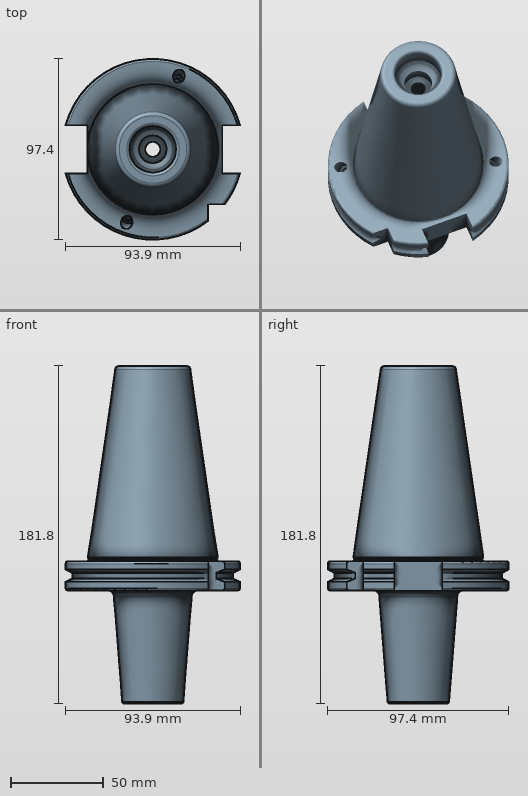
import cadquery as cq
import math

total_length = 181.8
taper_length = 101.8
z_top = taper_length
z_bottom = z_top - total_length

gauge_radius = 34.9
taper_slope = 7 / 48
taper_overrun = 1.3
top_edge_round = 2.2

relief_radius = 34.5
relief_bevel_height = 0.5
relief_fillet = 0.7

flange_radius = 48.7
z_flange_top = -3.3
flange_thickness = 15.8
z_flange_bottom = z_flange_top - flange_thickness
flange_edge_round = 1.3

z_groove = -11.0
groove_width = 6.7
groove_floor_radius = 45.3
groove_corner_round = 0.5
groove_wall_angle = 27.0

slot_width = 25.8
left_slot_floor = 35.3
right_slot_floor = 37.5
notch_x = 29.8
notch_y = 29.6

nose_top_radius = 21.0
nose_tip_radius = 16.5
nose_fillet = 2.9
nose_collar_height = 0.5
nose_tip_chamfer = 0.9

mouth_round = 1.6
bore_radius = 12.5
bore_depth = 9.0
seat_radius = 10.7
seat_depth = 10.5
pocket_radius = 7.5
cone_depth = 11.8
pocket_depth = 18.2
through_radius = 4.0

hole_circle_radius = 41.8
hole_angle = 70.4
hole_radius = 3.0
hole_tilt = 30.0
hole_depth = 4.7
socket_width = 3.6
socket_depth = 1.5


def taper_radius(z):
    return gauge_radius - taper_slope * z


def arc_inset(radius):
    return radius * (1 - math.sqrt(0.5))


def revolve_profile(profile):
    return profile.close().revolve(360, (0, 0, 0), (0, 1, 0))


def make_shank():
    z_taper_end = -taper_overrun
    relief_sag = arc_inset(relief_fillet)
    profile = (
        cq.Workplane("YZ")
        .moveTo(0, z_top)
        .lineTo(taper_radius(z_top), z_top)
        .lineTo(taper_radius(z_taper_end), z_taper_end)
        .lineTo(relief_radius, z_taper_end - relief_bevel_height)
        .lineTo(relief_radius, z_flange_top + relief_fillet)
        .threePointArc(
            (relief_radius + relief_sag, z_flange_top + relief_sag),
            (relief_radius + relief_fillet, z_flange_top),
        )
        .lineTo(0, z_flange_top)
    )
    return revolve_profile(profile).faces(">Z").edges().fillet(top_edge_round)


def make_flange():
    disc = (
        cq.Workplane("XY", origin=(0, 0, z_flange_bottom))
        .circle(flange_radius)
        .extrude(flange_thickness)
        .edges()
        .fillet(flange_edge_round)
    )
    half_mouth = groove_width / 2
    groove_depth = flange_radius - groove_floor_radius
    half_floor = half_mouth - groove_depth * math.tan(math.radians(groove_wall_angle))
    groove = (
        cq.Workplane("YZ")
        .moveTo(flange_radius, z_groove + half_mouth)
        .lineTo(groove_floor_radius, z_groove + half_floor)
        .lineTo(groove_floor_radius, z_groove - half_floor)
        .lineTo(flange_radius, z_groove - half_mouth)
    )
    floor_edges = cq.selectors.RadiusNthSelector(0)
    return disc.cut(revolve_profile(groove).edges(floor_edges).fillet(groove_corner_round))


def make_nose():
    z_collar_top = z_flange_bottom - nose_fillet
    z_collar_bottom = z_collar_top - nose_collar_height
    sag = arc_inset(nose_fillet)
    profile = (
        cq.Workplane("YZ")
        .moveTo(0, z_flange_bottom)
        .lineTo(nose_top_radius + nose_fillet, z_flange_bottom)
        .threePointArc(
            (nose_top_radius + sag, z_flange_bottom - sag),
            (nose_top_radius, z_collar_top),
        )
        .lineTo(nose_top_radius, z_collar_bottom)
        .lineTo(nose_tip_radius, z_bottom)
        .lineTo(0, z_bottom)
    )
    return revolve_profile(profile).faces("<Z").edges().chamfer(nose_tip_chamfer)


def make_flange_cutouts():
    reach = flange_radius

    def cutout(x_min, x_max, y_min, y_max):
        return cq.Workplane("XY").box(
            x_max - x_min, y_max - y_min, flange_thickness, centered=False
        ).translate((x_min, y_min, z_flange_bottom))

    half_slot = slot_width / 2
    left_slot = cutout(-reach, -left_slot_floor, -half_slot, half_slot)
    right_slot = cutout(right_slot_floor, reach, -half_slot, half_slot)
    notch = cutout(notch_x, reach, -reach, -notch_y)
    return left_slot.union(right_slot).union(notch)


def make_bore():
    mouth_sag = arc_inset(mouth_round)
    profile = (
        cq.Workplane("YZ")
        .moveTo(0, z_top)
        .lineTo(bore_radius + mouth_round, z_top)
        .threePointArc(
            (bore_radius + mouth_sag, z_top - mouth_sag),
            (bore_radius, z_top - mouth_round),
        )
        .lineTo(bore_radius, z_top - bore_depth)
        .lineTo(seat_radius, z_top - seat_depth)
        .lineTo(pocket_radius, z_top - cone_depth)
        .lineTo(pocket_radius, z_top - pocket_depth)
        .lineTo(through_radius, z_top - pocket_depth)
        .lineTo(through_radius, z_bottom)
        .lineTo(0, z_bottom)
    )
    return revolve_profile(profile)


def make_coolant_hole(angle):
    tilt = math.radians(hole_tilt)
    outward = (math.cos(math.radians(angle)), math.sin(math.radians(angle)))
    axis = cq.Vector(
        outward[0] * math.sin(tilt), outward[1] * math.sin(tilt), math.cos(tilt)
    )
    mouth = cq.Vector(
        outward[0] * hole_circle_radius, outward[1] * hole_circle_radius, z_flange_top
    )
    overshoot = hole_radius
    screw_face = cq.Plane(origin=mouth - axis * hole_depth, normal=axis)
    hole = cq.Workplane(screw_face).circle(hole_radius).extrude(hole_depth + overshoot)
    socket = cq.Workplane(screw_face).polygon(6, socket_width).extrude(-socket_depth)
    return hole.union(socket)


result = make_shank().union(make_flange()).union(make_nose())
result = result.cut(make_flange_cutouts()).cut(make_bore())
for angle in (hole_angle, hole_angle + 180):
    result = result.cut(make_coolant_hole(angle))